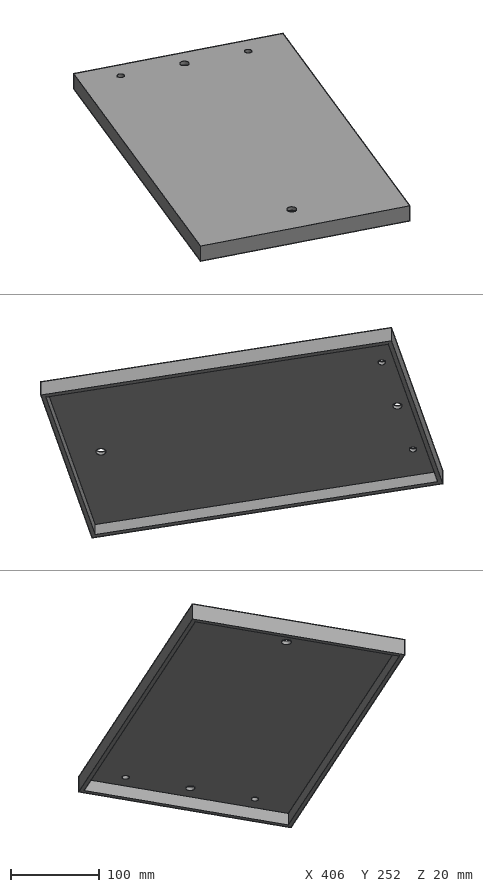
import cadquery as cq

length = 406.0
width = 252.0
thickness = 20.0
wall = 5.0

left_hole_x = -180.0
right_hole_x = 163.2
hole_row_y = -1.2
side_hole_spacing = 76.7
side_hole_diameter = 8.0
left_hole_diameter = 10.0
right_hole_diameter = 11.0


def drill(tray, diameter, points):
    """Drill vertical holes of one diameter at the given points."""
    return tray.faces(">Z").workplane(origin=(0, 0, 0)).pushPoints(points).hole(diameter)


result = cq.Workplane("XY").box(length, width, thickness).faces("<Z").shell(-wall)

side_hole_points = [(left_hole_x, hole_row_y + side * side_hole_spacing) for side in (-1, 1)]
result = drill(result, side_hole_diameter, side_hole_points)

result = drill(result, left_hole_diameter, [(left_hole_x, hole_row_y)])
result = drill(result, right_hole_diameter, [(right_hole_x, hole_row_y)])